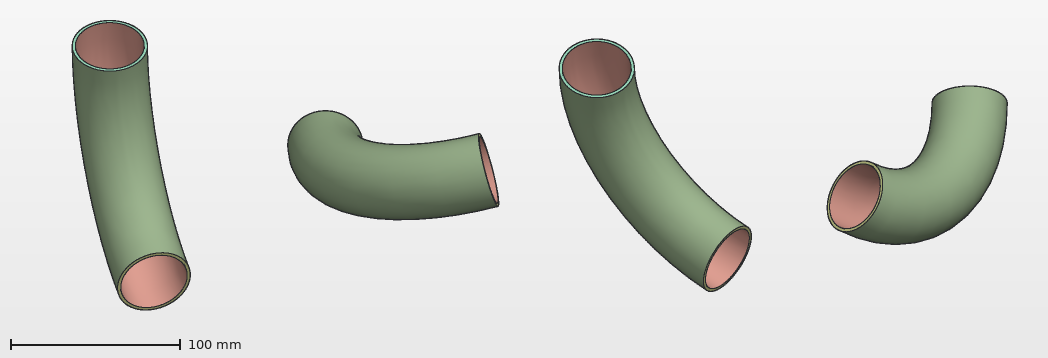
import cadquery as cq

overall_size = 122.2
outer_diameter = 44.5
wall_thickness = 2.0
bend_angle = 90.0

outer_radius = outer_diameter / 2
inner_radius = outer_radius - wall_thickness
bend_radius = overall_size - outer_radius

result = (
    cq.Workplane("XY")
    .circle(outer_radius)
    .circle(inner_radius)
    .revolve(bend_angle, (bend_radius, 1.2, 0), (bend_radius, 0, 0))
)